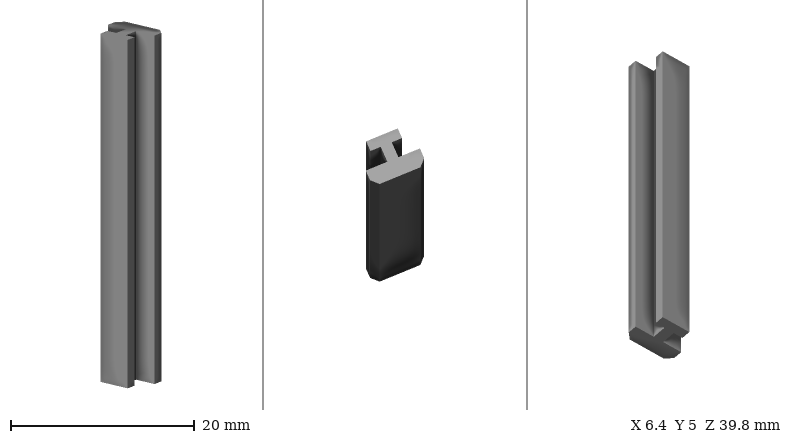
import cadquery as cq

length = 39.8
depth = 5.0

head_width = 6.4
head_thickness = 2.0
chamfer = 0.8

foot_width = 3.75
foot_thickness = 1.2
web_width = 1.3

back = depth / 2
front = -depth / 2
head_front = back - head_thickness
foot_back = front + foot_thickness

half_section = [
    (0, front),
    (foot_width / 2, front),
    (foot_width / 2, foot_back),
    (web_width / 2, foot_back),
    (web_width / 2, head_front),
    (head_width / 2, head_front),
    (head_width / 2, back - chamfer),
    (head_width / 2 - chamfer, back),
    (0, back),
]

result = cq.Workplane("XY").polyline(half_section).mirrorY().extrude(length)